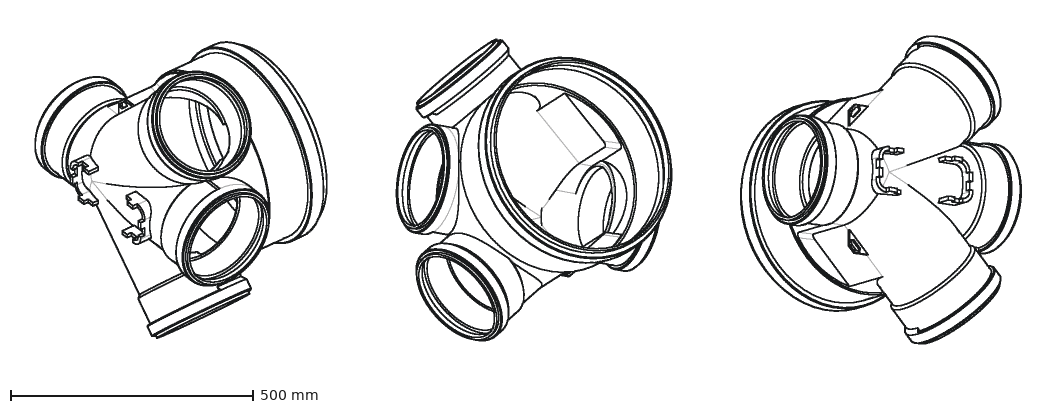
import cadquery as cq
import math


OVERALL_HEIGHT = 645.0
BRANCH_ANGLE = 45
BRANCH_TILT = math.radians(BRANCH_ANGLE)
PIPE_RADIUS = 200.5 / 2
PIPE_BORE_RADIUS = 188.0 / 2
INLET_BORE_RADIUS = 180.5 / 2
SOCKET_RADIUS = 212.0 / 2
SOCKET_BORE_RADIUS = 200.5 / 2
COLLAR_RADIUS = 228.0 / 2
SEAL_GROOVE_RADIUS = 216.0 / 2
SOCKET_LENGTH = 96.0
COLLAR_START = 64.5
COLLAR_END = 89.5
COLLAR_CHAMFER = 2.0
COLLAR_RAMP = 9.5
GROOVE_LAND = 4.5
SOCKET_SHOULDER = 6.0

INLET_REACH = 80.5
OUTLET_REACH = 236.0
BRANCH_REACH = OVERALL_HEIGHT / 2 / math.sin(BRANCH_TILT) - SOCKET_RADIUS - SOCKET_LENGTH
INLET_DROP = 4.5
INLET_RING_LENGTH = 10.0

CHAMBER_X = 100.0
NECK_RADIUS = 405.0 / 2
NECK_WALL = 6.0
CHAMBER_RADIUS = 413 / 2
CHAMBER_BORE_RADIUS = 404.0 / 2
RIM_RADIUS = 436.0 / 2
RIM_GROOVE_RADIUS = 427.0 / 2
CHAMBER_BASE_Y = 128.5
CHAMBER_FLOOR = 6.0
RIM_BOTTOM_Y = 228.0
RIM_TOP_Y = 261.0
CHAMBER_TOP_Y = 277.5
CROTCH_WALL_X = 240.0

NOTCH_INNER_Y = 117.5
NOTCH_OUTER_Y = 122.5
NOTCH_FILLET = 10.0
NOTCH_WALL = 6.5

GUSSET_THICKNESS = 5.0
GUSSET_HEIGHT = 22.5
GUSSET_TIP_WIDTH = 20.5
GUSSET_ROOT = 3.0
GUSSET_REACH = 88.5
WINDOW_BASE = 6.5
WINDOW_TOP = 17.5
WINDOW_BASE_WIDTH = 23.0
WINDOW_MIDDLE_WIDTH = 31.0
WINDOW_TOP_WIDTH = 15.5

FEET_CENTRE_X = 77.5
FEET_HALF_SPAN = 118.5
FOOT_LENGTH = 62.0
FOOT_WIDTH = 94.0
FOOT_WALL = 8.5
FOOT_CORNER_RADIUS = 24.5
FOOT_BOTTOM_Y = -124.0
FOOT_NOTCH_HEIGHT = 11.0
TAB_START_X = 26.0
TAB_END_X = 46.0
TAB_HALF_SPAN = 19.0


def turned(points, angle=0, y=0):
    """Revolve (axial, radius) points about a pipe axis pointing at `angle` in the XZ plane."""
    body = cq.Workplane("XY").polyline(points).close().revolve(360, (0, 0, 0), (1, 0, 0))
    return body.rotate((0, 0, 0), (0, 1, 0), -angle).translate((0, y, 0))


def rod(start, end, radius, angle=0, y=0):
    return turned([(start, 0), (start, radius), (end, radius), (end, 0)], angle, y)


def disc(bottom_y, top_y, radius):
    """Cylinder on the chamber axis."""
    plane = cq.Plane(origin=(CHAMBER_X, bottom_y, 0), xDir=(1, 0, 0), normal=(0, 1, 0))
    return cq.Workplane(plane).circle(radius).extrude(top_y - bottom_y)


def both_sides(body):
    return body.union(body.mirror("XY"))


def socket_body(reach, angle, y=0):
    back = reach + COLLAR_START
    front = reach + COLLAR_END
    end = reach + SOCKET_LENGTH
    rounded = COLLAR_RADIUS - COLLAR_CHAMFER
    return turned([
        (reach, 0), (reach, PIPE_RADIUS), (reach + SOCKET_SHOULDER, SOCKET_RADIUS),
        (back, SOCKET_RADIUS), (back, rounded), (back + COLLAR_CHAMFER, COLLAR_RADIUS),
        (front - COLLAR_CHAMFER, COLLAR_RADIUS), (front, rounded),
        (front, SOCKET_RADIUS), (end, SOCKET_RADIUS), (end, 0),
    ], angle, y)


def socket_cavity(reach, angle, y=0):
    bore = rod(reach + SOCKET_SHOULDER, reach + SOCKET_LENGTH, SOCKET_BORE_RADIUS, angle, y)
    groove = rod(reach + COLLAR_START + GROOVE_LAND, reach + COLLAR_END - GROOVE_LAND,
                 SEAL_GROOVE_RADIUS, angle, y)
    return bore.union(groove)


def upper_half(points, angle=0):
    """The +Y half of the body turned from (axial, radius) points."""
    half = cq.Workplane("XY").polyline(points).close().revolve(180, (0, 0, 0), (1, 0, 0))
    return half.rotate((0, 0, 0), (1, 0, 0), -90).rotate((0, 0, 0), (0, 1, 0), -angle)


def outlet_collar_extension():
    """Half collar that runs from the straight outlet back to the neck."""
    start = CHAMBER_X + math.sqrt(NECK_RADIUS ** 2 - COLLAR_RADIUS ** 2)
    end = OUTLET_REACH + COLLAR_START + COLLAR_CHAMFER
    return upper_half([(start, 0), (start, COLLAR_RADIUS), (end, COLLAR_RADIUS), (end, 0)])


def branch_collar_ramp():
    """Half cone that leads from a branch socket up to its collar."""
    end = BRANCH_REACH + COLLAR_START + COLLAR_CHAMFER
    start = end - COLLAR_RAMP
    return upper_half([(start, 0), (start, SOCKET_RADIUS), (end, COLLAR_RADIUS), (end, 0)], BRANCH_ANGLE)


def notch_cutter(inset):
    """Space outside the +Z channel walls; `inset` shifts its walls and ceiling into the neck."""
    wall = PIPE_RADIUS - inset
    corner_x = -wall * math.tan(BRANCH_TILT / 2)
    far = 2 * NECK_RADIUS
    prism = cq.Workplane("XZ").polyline([
        (corner_x, wall), (corner_x + far, wall + far), (corner_x - far, wall + far),
        (corner_x - far, wall)]).close().extrude(-(NOTCH_OUTER_Y + far))

    cos = math.cos(BRANCH_TILT)
    sin = math.sin(BRANCH_TILT)
    neck_to_wall = NECK_RADIUS - PIPE_RADIUS - CHAMBER_X * sin
    slope = (NOTCH_OUTER_Y - NOTCH_INNER_Y) / neck_to_wall
    low = NOTCH_INNER_Y + inset - slope * (far + PIPE_RADIUS)
    high = NOTCH_INNER_Y + inset + slope * (far - PIPE_RADIUS)
    section = cq.Workplane(cq.Plane(origin=(0, 0, 0), xDir=(-sin, 0, cos), normal=(-cos, 0, -sin)))
    below_ceiling = section.polyline([(-far, -far), (-far, low), (far, high), (far, -far)]).close()
    notch = prism.intersect(below_ceiling.extrude(far, both=True))

    branch_wall_edge = cq.selectors.ParallelDirSelector(cq.Vector(cos, 0, sin))
    notch = notch.edges(branch_wall_edge).edges(">Y").fillet(NOTCH_FILLET)
    return notch.faces("<Z").edges(">Y").fillet(NOTCH_FILLET)


def gusset():
    """Windowed plate at the foot of the +Z notch, standing out from the side of the branch."""
    cos = math.cos(BRANCH_TILT)
    sin = math.sin(BRANCH_TILT)
    root_x = GUSSET_REACH * cos - PIPE_RADIUS * sin
    root_z = GUSSET_REACH * sin + PIPE_RADIUS * cos
    plane = cq.Plane(origin=(root_x, 0, root_z), xDir=(cos, 0, sin), normal=(0, -1, 0))
    root_half = GUSSET_TIP_WIDTH / 2 + GUSSET_HEIGHT + GUSSET_ROOT
    tip_half = GUSSET_TIP_WIDTH / 2
    plate = cq.Workplane(plane).polyline([
        (-root_half, -GUSSET_ROOT), (root_half, -GUSSET_ROOT),
        (tip_half, GUSSET_HEIGHT), (-tip_half, GUSSET_HEIGHT)]).close().extrude(GUSSET_THICKNESS)
    base_half = WINDOW_BASE_WIDTH / 2
    middle_half = WINDOW_MIDDLE_WIDTH / 2
    top_half = WINDOW_TOP_WIDTH / 2
    middle = (WINDOW_BASE + WINDOW_TOP) / 2
    window = cq.Workplane(plane).polyline([
        (-base_half, WINDOW_BASE), (base_half, WINDOW_BASE), (middle_half, middle),
        (top_half, WINDOW_TOP), (-top_half, WINDOW_TOP), (-middle_half, middle)]).close()
    return plate.cut(window.extrude(GUSSET_THICKNESS))


def foot():
    back_x = FEET_CENTRE_X - FEET_HALF_SPAN

    def block(wall):
        radius = FOOT_CORNER_RADIUS - wall
        width = FOOT_WIDTH - 2 * wall
        length = 2 * FOOT_LENGTH
        body = cq.Workplane("XY").box(length, -FOOT_BOTTOM_Y, width, centered=(False, False, True))
        body = body.edges("|Y and <X").fillet(radius)
        return body.translate((back_x + wall, FOOT_BOTTOM_Y, 0))

    shell = block(0).cut(block(FOOT_WALL))
    keep = cq.Workplane("XY").box(FOOT_LENGTH, -FOOT_BOTTOM_Y, FOOT_WIDTH, centered=(False, False, True))
    shell = shell.intersect(keep.translate((back_x, FOOT_BOTTOM_Y, 0)))

    side = FOOT_WIDTH / 2
    for x_start, x_end, z_start, z_end in (
        (TAB_START_X, TAB_END_X, 0, side),
        (0, FOOT_WALL, 0, TAB_HALF_SPAN),
        (0, TAB_START_X, -side, -TAB_HALF_SPAN),
        (TAB_END_X, FOOT_LENGTH, -side, 0),
    ):
        notch = cq.Workplane("XY").box(x_end - x_start, FOOT_NOTCH_HEIGHT, z_end - z_start, centered=False)
        shell = shell.cut(notch.translate((back_x + x_start, FOOT_BOTTOM_Y, z_start)))
    return shell


def outer_body():
    body = disc(0, CHAMBER_BASE_Y, NECK_RADIUS)
    notch = notch_cutter(0)
    body = body.cut(both_sides(notch))
    body = body.union(disc(CHAMBER_BASE_Y, CHAMBER_TOP_Y, CHAMBER_RADIUS))
    rim = disc(RIM_BOTTOM_Y, RIM_TOP_Y, RIM_RADIUS).edges().chamfer(COLLAR_CHAMFER)
    body = body.union(rim)

    body = body.union(rod(-INLET_REACH - SOCKET_SHOULDER, OUTLET_REACH, PIPE_RADIUS))
    body = body.union(socket_body(INLET_REACH, 180, -INLET_DROP))
    body = body.union(socket_body(OUTLET_REACH, 0))
    body = body.union(outlet_collar_extension())
    branch = rod(0, BRANCH_REACH, PIPE_RADIUS, BRANCH_ANGLE)
    branch = branch.union(socket_body(BRANCH_REACH, BRANCH_ANGLE))
    branch = branch.union(branch_collar_ramp())
    body = body.union(both_sides(branch))
    body = body.union(both_sides(gusset()))
    feet = foot().union(foot().rotate((FEET_CENTRE_X, 0, 0), (FEET_CENTRE_X, 1, 0), 180))
    return body.union(feet)


def neck_cavity():
    cavity = disc(0, CHAMBER_BASE_Y + CHAMBER_FLOOR, NECK_RADIUS - NECK_WALL)
    cavity = cavity.cut(both_sides(notch_cutter(NOTCH_WALL)))
    far = 2 * NECK_RADIUS
    beyond_crotch = cq.Workplane("XY").box(far, CHAMBER_BASE_Y, far, centered=(False, False, True))
    cavity = cavity.cut(beyond_crotch.translate((CROTCH_WALL_X, 0, 0)))
    return cavity.cut(rod(-far, INLET_RING_LENGTH - INLET_REACH, PIPE_RADIUS))


def cavities():
    parts = [
        neck_cavity(),
        disc(CHAMBER_BASE_Y + CHAMBER_FLOOR, CHAMBER_TOP_Y, CHAMBER_BORE_RADIUS),
        disc(RIM_BOTTOM_Y + GROOVE_LAND, RIM_TOP_Y - GROOVE_LAND, RIM_GROOVE_RADIUS),
        rod(INLET_RING_LENGTH - INLET_REACH, OUTLET_REACH + SOCKET_SHOULDER, PIPE_BORE_RADIUS),
        rod(INLET_REACH + SOCKET_SHOULDER, 0, INLET_BORE_RADIUS, 180, -INLET_DROP),
        socket_cavity(INLET_REACH, 180, -INLET_DROP),
        socket_cavity(OUTLET_REACH, 0),
    ]
    for angle in (BRANCH_ANGLE, -BRANCH_ANGLE):
        parts.append(rod(0, BRANCH_REACH + SOCKET_SHOULDER, PIPE_BORE_RADIUS, angle))
        parts.append(socket_cavity(BRANCH_REACH, angle))
    return parts


result = outer_body()
for cavity in cavities():
    result = result.cut(cavity)